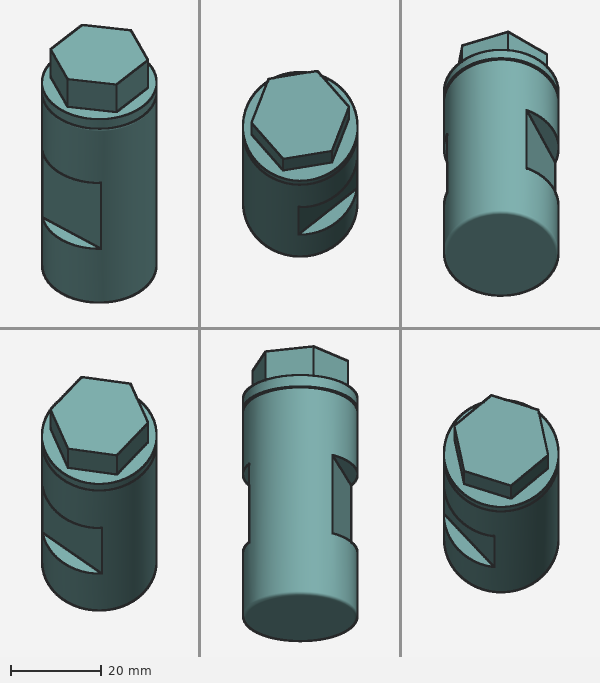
import cadquery as cq

total_height = 61.4
body_diameter = 25.4

across_flats = 19.0
head_height = 8.0
flange_height = 2.75

housing_height = total_height - head_height - flange_height
edge_radius = 0.75
flat_bottom = 15.95
flat_height = 19.05


def make_housing():
    """Round housing standing on Z = 0, with flats facing -Y and +Y."""
    cylinder = (
        cq.Workplane("XY")
        .circle(body_diameter / 2)
        .extrude(housing_height)
        .faces("<Z or >Z")
        .edges()
        .fillet(edge_radius)
    )
    for side in (-1, 1):
        cutter = (
            cq.Workplane("XY", origin=(0, side * (across_flats + body_diameter) / 2, flat_bottom))
            .rect(body_diameter, body_diameter)
            .extrude(flat_height)
        )
        cylinder = cylinder.cut(cutter)
    return cylinder


def make_cap():
    """Flange resting on the housing, with a hexagon whose flats face -X and +X."""
    flange = (
        cq.Workplane("XY", origin=(0, 0, housing_height))
        .circle(body_diameter / 2)
        .extrude(flange_height)
    )
    head = (
        cq.Workplane("XY", origin=(0, 0, housing_height + flange_height))
        .polygon(6, across_flats, circumscribed=True)
        .extrude(head_height)
    )
    return flange.union(head)


housing = make_housing()
cap = make_cap()
result = cq.Compound.makeCompound([housing.val(), cap.val()])